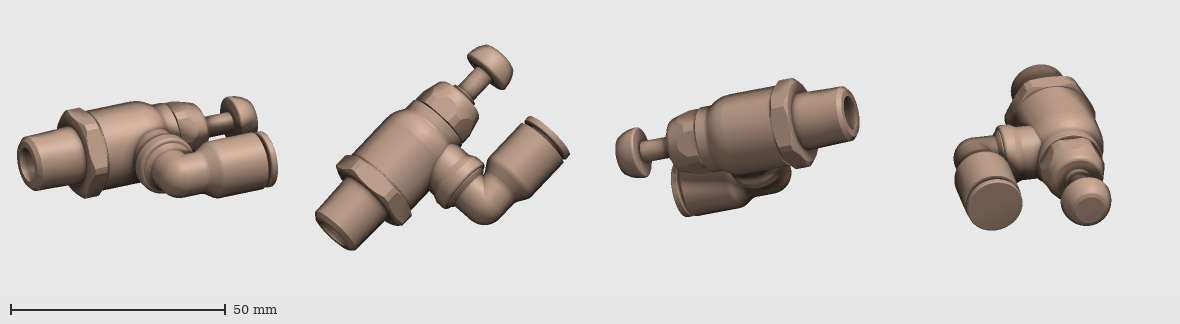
import cadquery as cq
import math

OVERLAP = 0.6

THREAD_END_R = 6.5
THREAD_CHAMFER = 0.9
TAPER = 1 / 32
BORE_R = 4.05

HEX_Y0, HEX_Y1 = 11.9, 16.3
HEX_FLATS = 19.0
HEX_CORNER_R = 10.55
HEX_FACE_R = 9.45
HEX_CHAMFER_Y = 0.65

BODY_R = HEX_FLATS / 2
RELIEF_R = 9.25
BODY_Y0 = 16.7
SHOULDER_Y0, SHOULDER_Y1 = 28.55, 32.7
SHOULDER_TOP_R = 8.1
COLLAR_R = 7.75
COLLAR_Y0, COLLAR_Y1 = 33.6, 36.2
COLLAR_CHAMFER = 0.2

NUT_NECK_R = 6.1
NUT_FLATS = 13.9
NUT_CORNER_R = 7.5
NUT_Y0, NUT_Y1 = 36.6, 44.25
NUT_CONE_Y = 39.15
NUT_CROWN_R, NUT_CROWN_Y = 6.4, 43.2
NUT_FACE_R = 5.5

STEM_COLLAR_R, STEM_COLLAR_Y1 = 3.3, 45.45
STEM_R = 2.5
STEM_CHAMFER = 0.35
KNOB_Y0, KNOB_Y1 = 52.45, 57.9
KNOB_R = 5.95
KNOB_RIM_ROUND = 0.5
KNOB_BAND_Y = 53.15
KNOB_SHOULDER_R, KNOB_SHOULDER_Y = 4.65, 57.2
KNOB_CROWN_R, KNOB_CROWN_Y = 4.3, 57.55
KNOB_FACE_R = 3.5
KNOB_BULGE = 0.35

BRANCH_Y = 29.05
BRANCH_R = 6.25
RING_R = 7.05
RING_FLARE_X = 10.65
RING_CONE_X, RING_CONE_R = 10.95, 6.3
RING_X0, RING_X1 = 12.5, 14.5
RING_ROUND = 0.75
ELBOW_LIP_R = 6.1
ELBOW_LIP_X, ELBOW_CONE_X = 15.4, 16.3

PORT_X = 21.25
ELBOW_R = 4.9
PORT_R = 6.8
PORT_FLARE_Y0, PORT_CONE_Y0 = 33.65, 34.8
PORT_CONE_Y1, PORT_BODY_Y0 = 36.9, 38.1
PORT_CONE_R0, PORT_CONE_R1 = 5.15, 6.4
PORT_Y1 = 48.9
RELEASE_NECK_R = 4.65
RELEASE_R = 6.6
RELEASE_Y0, RELEASE_Y1 = 49.95, 51.55
RELEASE_ROUND = 0.3


def bulged_mid(start, end, bulge):
    """Midpoint of an arc standing out by `bulge`, to the right of the start-to-end direction."""
    dx = end[0] - start[0]
    dy = end[1] - start[1]
    length = math.hypot(dx, dy)
    return (
        (start[0] + end[0]) / 2 + bulge * dy / length,
        (start[1] + end[1]) / 2 - bulge * dx / length,
    )


def turned(profile):
    """Close a (radius, Y) outline and turn it about the Y axis."""
    return profile.close().revolve(360, (0, 0, 0), (0, 1, 0))


def hex_prism(flats, y0, y1):
    """Hexagonal prism along Y with flats facing +Z and -Z."""
    across_corners = flats / math.cos(math.pi / 6)
    return (
        cq.Workplane("XZ", origin=(0, y0, 0))
        .polygon(6, across_corners)
        .extrude(y0 - y1)
    )


def inlet():
    thread_top = HEX_Y0 + OVERLAP
    top_r = THREAD_END_R + (thread_top - THREAD_CHAMFER) * TAPER
    return turned(
        cq.Workplane("XY")
        .lineTo(THREAD_END_R - THREAD_CHAMFER, 0)
        .lineTo(THREAD_END_R, THREAD_CHAMFER)
        .lineTo(top_r, thread_top)
        .lineTo(0, thread_top)
    )


def inlet_bore():
    return cq.Workplane("XZ").circle(BORE_R).extrude(-HEX_Y0)


def wrench_hexagon():
    envelope = turned(
        cq.Workplane("XY")
        .moveTo(0, HEX_Y0)
        .lineTo(HEX_FACE_R, HEX_Y0)
        .lineTo(HEX_CORNER_R, HEX_Y0 + HEX_CHAMFER_Y)
        .lineTo(HEX_CORNER_R, HEX_Y1 - HEX_CHAMFER_Y)
        .lineTo(HEX_FACE_R, HEX_Y1)
        .lineTo(0, HEX_Y1)
    )
    return hex_prism(HEX_FLATS, HEX_Y0, HEX_Y1).intersect(envelope)


def valve_body():
    shoulder_start = (BODY_R, SHOULDER_Y0)
    shoulder_end = (SHOULDER_TOP_R, SHOULDER_Y1)
    return turned(
        cq.Workplane("XY")
        .moveTo(0, HEX_Y1 - OVERLAP)
        .lineTo(RELIEF_R, HEX_Y1 - OVERLAP)
        .lineTo(RELIEF_R, BODY_Y0)
        .lineTo(BODY_R, BODY_Y0)
        .lineTo(*shoulder_start)
        .tangentArcPoint(shoulder_end, relative=False)
        .tangentArcPoint((COLLAR_R, COLLAR_Y0), relative=False)
        .lineTo(COLLAR_R, COLLAR_Y1 - COLLAR_CHAMFER)
        .lineTo(COLLAR_R - COLLAR_CHAMFER, COLLAR_Y1)
        .lineTo(NUT_NECK_R, COLLAR_Y1)
        .lineTo(NUT_NECK_R, NUT_Y0 + OVERLAP)
        .lineTo(0, NUT_Y0 + OVERLAP)
    )


def lock_nut():
    envelope = turned(
        cq.Workplane("XY")
        .moveTo(0, NUT_Y0)
        .lineTo(NUT_CORNER_R, NUT_Y0)
        .lineTo(NUT_CORNER_R, NUT_CONE_Y)
        .lineTo(NUT_CROWN_R, NUT_CROWN_Y)
        .tangentArcPoint((NUT_FACE_R, NUT_Y1), relative=False)
        .lineTo(0, NUT_Y1)
    )
    return hex_prism(NUT_FLATS, NUT_Y0, NUT_Y1).intersect(envelope)


def stem_and_knob():
    flank_start = (KNOB_R, KNOB_BAND_Y)
    flank_end = (KNOB_SHOULDER_R, KNOB_SHOULDER_Y)
    return turned(
        cq.Workplane("XY")
        .moveTo(0, NUT_Y1 - OVERLAP)
        .lineTo(STEM_COLLAR_R, NUT_Y1 - OVERLAP)
        .lineTo(STEM_COLLAR_R, STEM_COLLAR_Y1)
        .lineTo(STEM_R, STEM_COLLAR_Y1)
        .lineTo(STEM_R, KNOB_Y0 - STEM_CHAMFER)
        .lineTo(STEM_R - STEM_CHAMFER, KNOB_Y0)
        .lineTo(KNOB_R - KNOB_RIM_ROUND, KNOB_Y0)
        .tangentArcPoint((KNOB_R, KNOB_Y0 + KNOB_RIM_ROUND), relative=False)
        .lineTo(*flank_start)
        .threePointArc(bulged_mid(flank_start, flank_end, KNOB_BULGE), flank_end)
        .tangentArcPoint((KNOB_CROWN_R, KNOB_CROWN_Y), relative=False)
        .lineTo(KNOB_FACE_R, KNOB_Y1)
        .lineTo(0, KNOB_Y1)
    )


def branch():
    """Branch tube, its swivel ring and the elbow leg along X."""
    profile = (
        cq.Workplane("XY", origin=(0, BRANCH_Y, 0))
        .lineTo(0, BRANCH_R)
        .lineTo(RING_FLARE_X, BRANCH_R)
        .tangentArcPoint((RING_CONE_X, RING_CONE_R), relative=False)
        .lineTo(RING_X0, RING_R)
        .lineTo(RING_X1, RING_R)
        .tangentArcPoint((RING_X1 + RING_ROUND, RING_R - RING_ROUND), relative=False)
        .lineTo(RING_X1 + RING_ROUND, ELBOW_LIP_R)
        .lineTo(ELBOW_LIP_X, ELBOW_LIP_R)
        .lineTo(ELBOW_CONE_X, ELBOW_R)
        .lineTo(PORT_X, ELBOW_R)
        .lineTo(PORT_X, 0)
        .close()
    )
    return profile.revolve(360, (0, 0, 0), (1, 0, 0))


def tube_port():
    """Elbow leg along Y, port body and release ring."""
    return turned(
        cq.Workplane("XY")
        .moveTo(0, BRANCH_Y)
        .lineTo(ELBOW_R, BRANCH_Y)
        .lineTo(ELBOW_R, PORT_FLARE_Y0)
        .tangentArcPoint((PORT_CONE_R0, PORT_CONE_Y0), relative=False)
        .lineTo(PORT_CONE_R1, PORT_CONE_Y1)
        .tangentArcPoint((PORT_R, PORT_BODY_Y0), relative=False)
        .lineTo(PORT_R, PORT_Y1)
        .lineTo(RELEASE_NECK_R, PORT_Y1)
        .lineTo(RELEASE_NECK_R, RELEASE_Y0)
        .lineTo(RELEASE_R - RELEASE_ROUND, RELEASE_Y0)
        .tangentArcPoint((RELEASE_R, RELEASE_Y0 + RELEASE_ROUND), relative=False)
        .lineTo(RELEASE_R, RELEASE_Y1 - RELEASE_ROUND)
        .tangentArcPoint((RELEASE_R - RELEASE_ROUND, RELEASE_Y1), relative=False)
        .lineTo(0, RELEASE_Y1)
    ).translate((PORT_X, 0, 0))


def elbow_corner():
    return cq.Workplane("XY", origin=(PORT_X, BRANCH_Y, 0)).sphere(ELBOW_R)


valve = inlet().union(wrench_hexagon()).union(valve_body()).union(lock_nut()).union(stem_and_knob())
elbow = branch().union(elbow_corner()).union(tube_port())
result = valve.union(elbow).cut(inlet_bore())